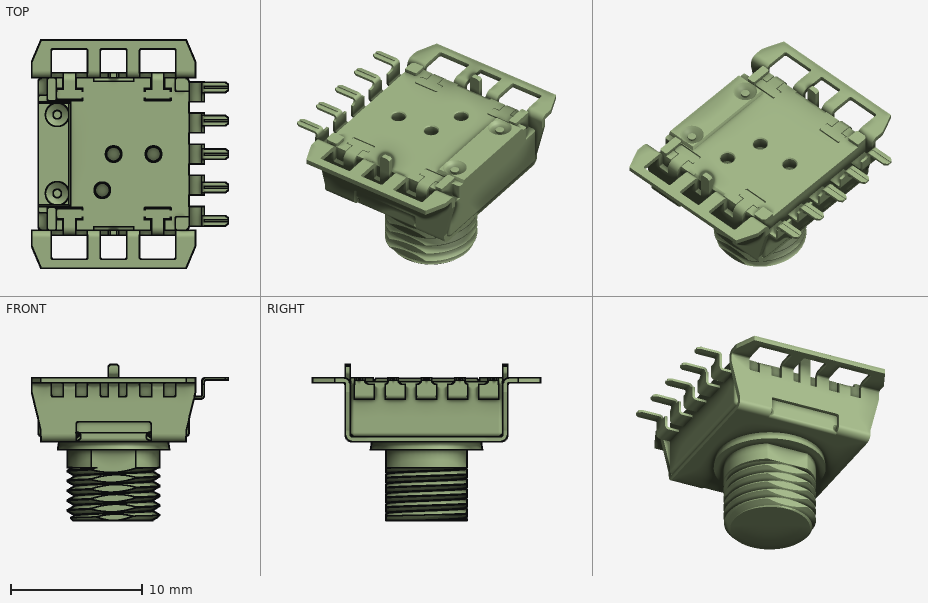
import cadquery as cq
import math


sheet = 0.4
bracket_length = 12.5
bracket_floor_length = 11.06
bracket_span = 17.4
bracket_top = 4.9
wall_outer_y = 6.2
wall_inner_y = wall_outer_y - sheet
floor_bend_radius = 0.6
flange_bend_radius = 0.55
taper_start_z = 0.85
taper_end_z = 3.8
flange_corner_y = 7.0
window_floor_z = 3.45
window_outer_y = 8.0
window_corner_radius = 0.12
side_window_x = 3.36
side_window_length = 2.74
centre_window_length = 2.0
stop_tab_length = 0.94
stop_tab_top = 4.0
solder_tab_length = 0.82
solder_tab_top = 5.9
solder_tab_chamfer = 0.15
recess_length = 5.7
recess_depth = 0.33
recess_top = 1.52
recess_bend_radius = 0.3
recess_corner_radius = 0.15
relief_radius = 0.36
relief_tip_radius = 0.1
relief_depth = 0.25
relief_z = 0.4

housing_length = 11.5
housing_half_y = wall_inner_y
housing_bottom = sheet
housing_top = 4.6
housing_corner_radius = 0.3
pad_top = bracket_top
left_pad_x = -5.04
left_pad_length = 0.67
left_pad_inner_y = 4.05
pad_corner_radius = 0.12
right_pad_length = 1.04
right_pad_inner_y = 4.77
notch_floor_z = window_floor_z
notch_inner_y = 4.47
notch_corner_radius = 0.14
plateau_top = 4.85
plateau_end_x = -3.27
plateau_half_y = 4.0
plateau_slope_width = 0.14
dish_x = -4.29
dish_y = 3.0
dish_radius = 0.9
dish_depth = 0.4
stub_radius = 0.32
stub_height = 0.2
hole_places = [(0, 0), (3.04, 0), (-0.86, -2.75)]
hole_radius = 0.54
hole_chamfer = 0.08
hole_depth = 1.0
edge_bevel_length = 3.05
edge_bevel_width = 0.25
edge_bevel_height = 0.1

clip_arm_length = stop_tab_length
clip_bend_y = 5.55
clip_end_z = stop_tab_top
clip_head_length = 2.03
clip_head_inner_y = 4.05
clip_head_outer_y = 5.0
clip_groove = 0.12
clip_slit = 0.06
clip_groove_depth = 0.15
clip_hook_length = 0.2

thread_radius = 3.53
thread_root_radius = 3.0
thread_pitch = 0.75
thread_start_z = -1.95
bushing_end_z = -6.0
bushing_chamfer = 0.45
bushing_flat_y = 3.1
crest_width = 0.06
root_width = 0.06
thread_overlap = 0.04
core_seam_angle = 37
crest_z_at_plus_x = -2.6
collar_radius = 4.27
collar_top_radius = 4.2
collar_rim_z = -0.15
collar_end_z = -0.6

terminals_per_side = 2
terminal_thickness = 0.2
terminal_end_x = 8.75
terminal_wall_x = 6.72
terminal_low_z = 3.26
terminal_top = bracket_top
terminal_bend_radius = 0.3
terminal_root_width = 1.53
terminal_root_pitch = 2.37
terminal_tip_width = 0.8
terminal_tip_pitch = 2.54
terminal_shoulder_z = 4.4
terminal_shoulder_radius = 0.3
terminal_min_shoulder = 0.05
terminal_tip_chamfer_x = 0.25
terminal_tip_chamfer_y = 0.18
terminal_groove_width = 0.16
terminal_groove_depth = 0.08


def block(x0, x1, y0, y1, z0, z1):
    """Box between two opposite corners."""
    return cq.Workplane("XY").box(x1 - x0, y1 - y0, z1 - z0, centered=False).translate((x0, y0, z0))


def centred_block(x, length, y0, y1, z0, z1):
    """Box centred on x along X."""
    return block(x - length / 2, x + length / 2, y0, y1, z0, z1)


def both_sides(solid):
    """The solid together with its mirror image across the XZ plane."""
    return solid.union(solid.mirror("XZ"))


def bracket_sheet():
    """Half of the folded sheet: floor, upright wall and outward flange."""
    floor_inner_radius = floor_bend_radius - sheet
    flange_inner_radius = flange_bend_radius - sheet
    flange_end_y = bracket_span / 2
    diagonal = math.sqrt(0.5)
    floor_bend_y = wall_outer_y - floor_bend_radius
    flange_bend_y = wall_inner_y + flange_bend_radius
    flange_bend_z = bracket_top - flange_bend_radius

    def floor_bend(radius):
        return (floor_bend_y + radius * diagonal, floor_bend_radius - radius * diagonal)

    def flange_bend(radius):
        return (flange_bend_y - radius * diagonal, flange_bend_z + radius * diagonal)

    return (
        cq.Workplane("YZ")
        .moveTo(0, 0)
        .lineTo(floor_bend_y, 0)
        .threePointArc(floor_bend(floor_bend_radius), (wall_outer_y, floor_bend_radius))
        .lineTo(wall_outer_y, flange_bend_z)
        .threePointArc(flange_bend(flange_inner_radius), (flange_bend_y, bracket_top - sheet))
        .lineTo(flange_end_y, bracket_top - sheet)
        .lineTo(flange_end_y, bracket_top)
        .lineTo(flange_bend_y, bracket_top)
        .threePointArc(flange_bend(flange_bend_radius), (wall_inner_y, flange_bend_z))
        .lineTo(wall_inner_y, floor_bend_radius)
        .threePointArc(floor_bend(floor_inner_radius), (floor_bend_y, sheet))
        .lineTo(0, sheet)
        .close()
        .extrude(bracket_length / 2, both=True)
    )


def bracket_outline():
    """Solid whose outline trims the sheet: tapered walls and cut flange corners."""
    half = bracket_length / 2
    low_half = bracket_floor_length / 2
    span = bracket_span / 2
    taper = (
        cq.Workplane("XZ")
        .polyline([
            (-low_half, 0), (low_half, 0), (low_half, taper_start_z), (half, taper_end_z),
            (half, bracket_top), (-half, bracket_top), (-half, taper_end_z), (-low_half, taper_start_z),
        ])
        .close()
        .extrude(span, both=True)
    )
    plan = (
        cq.Workplane("XY")
        .polyline([
            (-half, 0), (half, 0), (half, flange_corner_y), (low_half, span),
            (-low_half, span), (-half, flange_corner_y),
        ])
        .close()
        .extrude(bracket_top)
    )
    return taper.intersect(plan)


def bracket_window(x, length):
    """Opening through the flange and down into the upright wall."""
    flange_part = (
        centred_block(x, length, 0, window_outer_y, window_floor_z, bracket_top)
        .edges("|Z and >Y").fillet(window_corner_radius)
    )
    wall_part = (
        centred_block(x, length, 0, window_outer_y, window_floor_z, bracket_top)
        .edges("|Y and <Z").fillet(window_corner_radius)
    )
    return flange_part.intersect(wall_part)


def wall_recess():
    """Shallow pressed recess at the foot of the wall, with its own tighter bend."""
    face_y = wall_outer_y - recess_depth
    bend_y = face_y - recess_bend_radius
    reach = recess_bend_radius * math.sqrt(0.5)
    return (
        cq.Workplane("YZ")
        .moveTo(bend_y, 0)
        .threePointArc((bend_y + reach, recess_bend_radius - reach), (face_y, recess_bend_radius))
        .lineTo(face_y, recess_top)
        .lineTo(wall_outer_y, recess_top)
        .lineTo(wall_outer_y, 0)
        .close()
        .extrude(recess_length / 2, both=True)
        .edges("|Y and >Z").fillet(recess_corner_radius)
    )


def recess_reliefs():
    """Half-cone scoops sunk into the two lower corners of the wall recess."""
    face_y = wall_outer_y - recess_depth
    relief_zone = centred_block(0, recess_length, 0, wall_outer_y, 0, recess_top)
    reliefs = cq.Workplane("XY")
    for x in (-recess_length / 2, recess_length / 2):
        scoop = cq.Solid.makeCone(
            relief_radius, relief_tip_radius, relief_depth,
            pnt=cq.Vector(x, face_y, relief_z), dir=cq.Vector(0, -1, 0),
        )
        reliefs = reliefs.union(cq.Workplane(obj=scoop))
    return reliefs.intersect(relief_zone)


def bracket():
    """Complete bracket with windows, stop tabs, solder tabs and wall recesses."""
    half = bracket_sheet().intersect(bracket_outline())
    half = half.cut(bracket_window(0, centre_window_length))
    for x in (-side_window_x, side_window_x):
        half = half.cut(bracket_window(x, side_window_length))
        half = half.union(
            centred_block(x, stop_tab_length, wall_inner_y, wall_outer_y, window_floor_z, stop_tab_top)
        )
    solder_tab = (
        centred_block(0, solder_tab_length, wall_inner_y, wall_outer_y, window_floor_z, solder_tab_top)
        .edges("|Y and >Z").chamfer(solder_tab_chamfer)
    )
    return both_sides(half.union(solder_tab).cut(wall_recess()))


def housing_body():
    """Plain rounded block of the housing with the two corner notches on its -X side."""
    half = housing_length / 2
    body = (
        block(-half, half, -housing_half_y, housing_half_y, housing_bottom, housing_top)
        .edges("|Z").fillet(housing_corner_radius)
        .faces("<Z").edges().fillet(housing_corner_radius)
    )
    notch = block(-half, left_pad_x, notch_inner_y, housing_half_y, notch_floor_z, housing_top)
    notch = notch.edges("|Z and >X and <Y").fillet(notch_corner_radius)
    body = body.cut(both_sides(notch))
    middle_z = (notch_floor_z + housing_top) / 2
    for side in (-1, 1):
        post_edge = (-half, side * notch_inner_y, middle_z)
        body = body.edges(cq.selectors.NearestToPointSelector(post_edge)).fillet(notch_corner_radius)
        pad_edge = (left_pad_x, side * housing_half_y, middle_z)
        body = body.edges(cq.selectors.NearestToPointSelector(pad_edge)).fillet(pad_corner_radius)
    return body


def plateau():
    """Raised area along the -X side of the housing top, with sloped edges."""
    start_x = -housing_length / 2
    height = plateau_top - housing_top
    slope = plateau_slope_width
    width = 2 * plateau_half_y
    length = plateau_end_x - start_x
    lengthwise = (
        cq.Workplane("YZ")
        .polyline([(-width / 2, 0), (width / 2, 0), (width / 2 - slope, height), (slope - width / 2, height)])
        .close()
        .extrude(length)
        .translate((start_x, 0, housing_top))
    )
    crosswise = (
        cq.Workplane("XZ")
        .polyline([(0, 0), (length, 0), (length - slope, height), (0, height)])
        .close()
        .extrude(plateau_half_y, both=True)
        .translate((start_x, 0, housing_top))
    )
    return lengthwise.intersect(crosswise)


def corner_pads():
    """Four spacer pads standing on the corners of the housing top."""
    left = block(
        left_pad_x, left_pad_x + left_pad_length, left_pad_inner_y, housing_half_y, housing_top, pad_top
    ).edges("|Z").fillet(pad_corner_radius)
    end_x = housing_length / 2
    right = block(
        end_x - right_pad_length, end_x, right_pad_inner_y, housing_half_y, housing_top, pad_top
    )
    right = right.edges("|Z and >X and >Y").fillet(housing_corner_radius)
    right = right.edges("|Z and <X").fillet(pad_corner_radius)
    return both_sides(left.union(right))


def rivet_dish(y):
    """Ball that hollows a shallow bowl into the plateau."""
    ball_radius = (dish_radius**2 + dish_depth**2) / (2 * dish_depth)
    centre_z = plateau_top - dish_depth + ball_radius
    return cq.Workplane("XY").sphere(ball_radius).translate((dish_x, y, centre_z))


def rivet_stub(y):
    """Pin end standing on the dish floor."""
    return (
        cq.Workplane("XY")
        .circle(stub_radius)
        .extrude(stub_height)
        .translate((dish_x, y, plateau_top - dish_depth))
    )


def top_hole(x, y):
    """Blind hole with a chamfered mouth."""
    rim = hole_radius + hole_chamfer
    return (
        cq.Workplane("XZ")
        .polyline([
            (0, 0), (rim, 0), (hole_radius, -hole_chamfer), (hole_radius, -hole_depth), (0, -hole_depth),
        ])
        .close()
        .revolve(360, (0, 0, 0), (0, 1, 0))
        .translate((x, y, housing_top))
    )


def edge_bevel():
    """Bevel in the middle of the housing's top edge."""
    y = housing_half_y
    return (
        cq.Workplane("YZ")
        .polyline([
            (y - edge_bevel_width, housing_top), (y, housing_top), (y, housing_top - edge_bevel_height),
        ])
        .close()
        .extrude(edge_bevel_length / 2, both=True)
    )


def clip_arm(x):
    """Latch arm curving from the housing top down over the bracket's stop tab."""
    radius_y = wall_outer_y - clip_bend_y
    drop = housing_top - clip_end_z
    middle = (clip_bend_y + radius_y * math.sqrt(0.5), clip_end_z + drop * math.sqrt(0.5))
    return (
        cq.Workplane("YZ")
        .moveTo(clip_bend_y, clip_end_z)
        .lineTo(wall_outer_y, clip_end_z)
        .threePointArc(middle, (clip_bend_y, housing_top))
        .close()
        .extrude(clip_arm_length / 2, both=True)
        .translate((x, 0, 0))
    )


def clip_grooves(x):
    """Grooves around the T-shaped clip head: a wide one on its inner edge, narrow ones behind its arms."""
    z0 = housing_top - clip_groove_depth
    y0 = clip_head_inner_y
    y1 = clip_head_outer_y
    half = clip_head_length / 2
    arm_half = clip_arm_length / 2
    grooves = centred_block(x, clip_head_length, y0, y0 + clip_groove, z0, housing_top)
    grooves = grooves.edges("|Z and <Y").chamfer(clip_groove / 2)
    for side in (-1, 1):
        end_x = x + side * (half - clip_slit / 2)
        shoulder_x = x + side * (half + arm_half) / 2
        stem_x = x + side * (arm_half + clip_slit / 2)
        inner_hook = centred_block(
            end_x, clip_slit, y0 + clip_groove / 2, y0 + clip_hook_length, z0, housing_top
        )
        outer_hook = centred_block(end_x, clip_slit, y1 - clip_hook_length, y1, z0, housing_top)
        shoulder = centred_block(shoulder_x, half - arm_half, y1 - clip_slit, y1, z0, housing_top)
        stem = centred_block(stem_x, clip_slit, y1 - clip_slit, housing_half_y, z0, housing_top)
        for groove in (inner_hook, outer_hook, shoulder, stem):
            grooves = grooves.union(groove)
    return grooves


def clip_seat(x):
    """Clearance in the housing edge where the clip arm curves down."""
    return centred_block(x, clip_arm_length, clip_bend_y, housing_half_y, clip_end_z, housing_top)


def housing():
    """Complete housing with clips, pads, plateau, rivet dishes and top holes."""
    body = housing_body()
    for x in (-side_window_x, side_window_x):
        body = body.cut(both_sides(clip_grooves(x))).cut(both_sides(clip_seat(x)))
        body = body.union(both_sides(clip_arm(x)))
    body = body.cut(both_sides(edge_bevel())).union(plateau()).union(corner_pads())
    for x, y in hole_places:
        body = body.cut(top_hole(x, y))
    for y in (-dish_y, dish_y):
        body = body.cut(rivet_dish(y)).union(rivet_stub(y))
    return body


def threaded_rod():
    """Right-handed threaded rod reaching past both ends of the shank's thread."""
    root_half = (thread_pitch - root_width) / 2
    crest_half = crest_width / 2
    slope = (root_half - crest_half) / (thread_radius - thread_root_radius)
    base_radius = thread_root_radius - thread_overlap
    base_half = root_half + slope * thread_overlap
    turns_below = math.ceil((crest_z_at_plus_x - bushing_end_z) / thread_pitch) + 1
    turns_above = math.ceil((thread_start_z - crest_z_at_plus_x) / thread_pitch) + 1
    start_z = crest_z_at_plus_x - turns_below * thread_pitch
    length = (turns_below + turns_above) * thread_pitch
    helix = cq.Workplane(obj=cq.Wire.makeHelix(thread_pitch, length, thread_root_radius))
    ridge = (
        cq.Workplane("XZ")
        .polyline([
            (base_radius, -base_half), (thread_radius, -crest_half),
            (thread_radius, crest_half), (base_radius, base_half),
        ])
        .close()
        .sweep(helix, isFrenet=True)
    )
    core = (
        cq.Workplane("XY")
        .circle(thread_root_radius)
        .extrude(length)
        .rotate((0, 0, 0), (0, 0, 1), core_seam_angle)
    )
    return core.union(ridge).translate((0, 0, start_z))


def bushing():
    """Collar, plain neck and threaded shank with two opposite flats."""
    collar = (
        cq.Workplane("XZ")
        .polyline([
            (0, 0), (collar_top_radius, 0), (collar_top_radius, collar_rim_z),
            (collar_radius, collar_end_z), (0, collar_end_z),
        ])
        .close()
        .revolve(360, (0, 0, 0), (0, 1, 0))
    )
    clearance = crest_width
    thread_zone = (
        cq.Workplane("XY", origin=(0, 0, thread_start_z))
        .circle(thread_radius + clearance)
        .extrude(bushing_end_z - thread_start_z)
        .faces("<Z").chamfer(bushing_chamfer + clearance)
    )
    neck = cq.Workplane("XY").circle(thread_radius).extrude(thread_start_z)
    flats = block(-collar_radius, collar_radius, -bushing_flat_y, bushing_flat_y, bushing_end_z, 0)
    shank = threaded_rod().intersect(thread_zone).union(neck).intersect(flats)
    return shank.union(collar)


def terminal_strip():
    """Cranked strip profile, wide enough for any root or tip, centred on Y = 0."""
    start_x = housing_length / 2 - terminal_thickness
    t = terminal_thickness
    x0 = terminal_wall_x
    x1 = terminal_wall_x + t
    profile = (
        cq.Workplane("XZ")
        .polyline([
            (start_x, terminal_low_z), (x1, terminal_low_z), (x1, terminal_top - t),
            (terminal_end_x, terminal_top - t), (terminal_end_x, terminal_top), (x0, terminal_top),
            (x0, terminal_low_z + t), (start_x, terminal_low_z + t),
        ])
        .close()
        .extrude(terminal_root_width, both=True)
    )
    outer_bends = [(x1, terminal_low_z), (x0, terminal_top)]
    inner_bends = [(x0, terminal_low_z + t), (x1, terminal_top - t)]
    for corners, radius in ((outer_bends, terminal_bend_radius), (inner_bends, terminal_bend_radius - t)):
        for x, z in corners:
            profile = profile.edges(cq.selectors.NearestToPointSelector((x, 0, z))).fillet(radius)
    return profile


def shoulder_web(tip_edge_y, root_edge_y):
    """Concave fillet between a tip edge and the wide root's shoulder, or None where they are flush."""
    gap = root_edge_y - tip_edge_y
    radius = min(terminal_shoulder_radius, abs(gap))
    if radius < terminal_min_shoulder:
        return None
    end_y = tip_edge_y + math.copysign(radius, gap)
    z0 = terminal_shoulder_z
    wall_end_x = terminal_wall_x + terminal_thickness
    web = block(0, wall_end_x, min(tip_edge_y, end_y), max(tip_edge_y, end_y), z0, z0 + radius)
    scoop = (
        cq.Workplane("YZ").center(end_y, z0 + radius).circle(radius).extrude(wall_end_x)
    )
    return web.cut(scoop)


def terminal(index):
    """Wide root on its own pitch narrowing to a grooved tip on the board pitch."""
    root_y = index * terminal_root_pitch
    tip_y = index * terminal_tip_pitch
    root_half = terminal_root_width / 2
    tip_half = terminal_tip_width / 2
    wall_end_x = terminal_wall_x + terminal_thickness
    outline = block(
        0, wall_end_x, root_y - root_half, root_y + root_half, terminal_low_z, terminal_shoulder_z
    )
    tip = block(0, terminal_end_x, tip_y - tip_half, tip_y + tip_half, terminal_shoulder_z, terminal_top)
    tip = tip.faces(">X").edges("|Z").chamfer(terminal_tip_chamfer_y, terminal_tip_chamfer_x)
    outline = outline.union(tip)
    for side in (-1, 1):
        web = shoulder_web(tip_y + side * tip_half, root_y + side * root_half)
        if web is not None:
            outline = outline.union(web)
    groove = block(
        wall_end_x, terminal_end_x,
        tip_y - terminal_groove_width / 2, tip_y + terminal_groove_width / 2,
        terminal_top - terminal_groove_depth, terminal_top,
    )
    return terminal_strip().translate((0, root_y, 0)).intersect(outline).cut(groove)


result = bracket().union(housing()).cut(both_sides(recess_reliefs())).union(bushing())
for terminal_index in range(-terminals_per_side, terminals_per_side + 1):
    result = result.union(terminal(terminal_index))